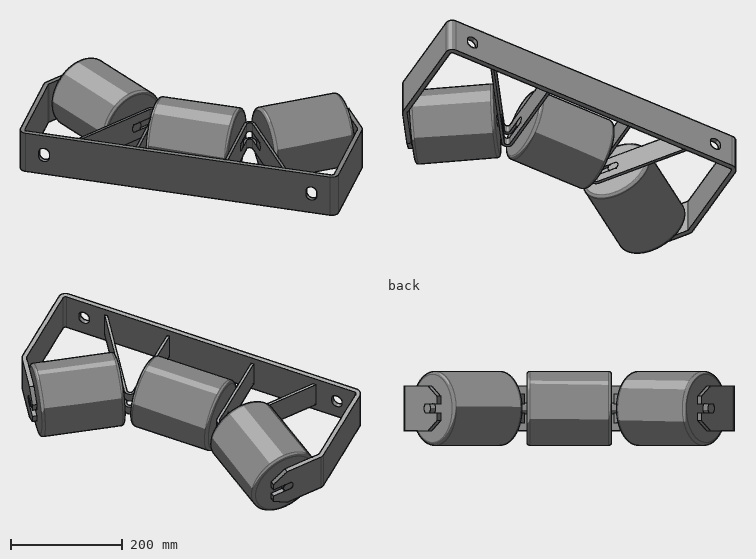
import cadquery as cq
import math

frame_length = 590.0
frame_height = 80.0
frame_thickness = 8.0
frame_bend_radius = 13.0
wall_top_y = 174.5
arm_tip_y = 258.5
tip_chamfer_along = 28.5
tip_chamfer_across = 18.0

mount_spacing = 495.5
mount_width = 20.0
mount_height = 27.0

tilt = 35.0
roller_diameter = 133.0
roller_length = 151.5
roller_round = 5.5
bracket_gap = 4.0
shaft_diameter = 20.0
shaft_flat = 16.0
middle_y = 125.0
side_x = 182.5
side_y = 183.5

bracket_thickness = 5.0
bracket_height = 52.0
bracket_bend_radius = 10.5

tilt_sin = math.sin(math.radians(tilt))
tilt_cos = math.cos(math.radians(tilt))
tilt_tan = tilt_sin / tilt_cos
half_length = frame_length / 2
support_distance = roller_length / 2 + bracket_gap

arm_tip_x = -half_length + (arm_tip_y - wall_top_y) * tilt_tan
arm_outer_distance = (half_length - side_x) * tilt_cos - (side_y - wall_top_y) * tilt_sin
arm_reach = (arm_tip_x + side_x) * tilt_sin + (arm_tip_y - side_y) * tilt_cos
arm_gap = arm_outer_distance - frame_thickness - roller_length / 2


def prism(points, height):
    """Closed outline in XY, thickened equally above and below Z = 0."""
    return cq.Workplane("XY").polyline(points).close().extrude(height).translate((0, 0, -height / 2))


def place_side(shape):
    """Move a shape from the X axis at the origin onto the left roller's axis."""
    return shape.rotate((0, 0, 0), (0, 0, 1), -tilt).translate((-side_x, side_y, 0))


def mirrored(shape):
    """Same shape on the other side of the X = 0 plane."""
    return shape.mirror("YZ")


def support_box(gap, support, start_y, end_y, height):
    """Box through a roller's support at the +X end, centred on the axis in Z."""
    return (
        cq.Workplane("XY").box(support, end_y - start_y, height, centered=(False, False, True))
        .translate((roller_length / 2 + gap, start_y, 0))
    )


def shaft_end(gap, support):
    """Shaft stub on a roller's +X end: round across the gap, flat above and below in the support."""
    radius = shaft_diameter / 2
    round_bar = (
        cq.Workplane("YZ").workplane(offset=roller_length / 2).circle(radius).extrude(gap + support)
    )
    zone = support_box(gap, support, -radius, radius, shaft_diameter)
    flats = zone.cut(support_box(gap, support, -radius, radius, shaft_flat))
    return round_bar.cut(flats)


def shaft_slot(gap, support, reach):
    """Cutter that seats a shaft end and runs out toward +Y."""
    return shaft_end(gap, support).union(support_box(gap, support, 0, reach, shaft_flat))


def make_roller(left_shaft, right_shaft):
    barrel = (
        cq.Workplane("YZ").workplane(offset=-roller_length / 2)
        .circle(roller_diameter / 2).extrude(roller_length)
        .edges().fillet(roller_round)
    )
    return barrel.union(mirrored(left_shaft)).union(right_shaft)


def frame_outline(offset):
    """Points from the middle of the base to the arm tip, moved inward from the outer face."""
    wall_x = -half_length + offset
    bend_shift = offset * math.tan(math.radians(tilt / 2))
    return [
        (0, offset),
        (wall_x, offset),
        (wall_x, wall_top_y - bend_shift),
        (arm_tip_x + offset * tilt_cos, arm_tip_y - offset * tilt_sin),
    ]


def round_edge(body, point, radius):
    """Fillet the vertical edge of the body that is nearest to an XY point."""
    nearest = cq.selectors.NearestToPointSelector((*point, 0))
    return body.edges("|Z").edges(nearest).fillet(radius)


def tip_chamfers():
    """Cutter for the upper and lower corner of the left arm's tip."""
    edge = frame_height / 2
    corner = [
        (arm_reach - tip_chamfer_along, edge),
        (arm_reach, edge),
        (arm_reach, edge - tip_chamfer_across),
    ]
    upper = (
        cq.Workplane("YZ").workplane(offset=-arm_outer_distance)
        .polyline(corner).close().extrude(frame_thickness)
    )
    return place_side(upper.union(upper.mirror("XY")))


def arm_slot():
    """Open slot in the left arm that seats the roller's shaft."""
    return place_side(mirrored(shaft_slot(arm_gap, frame_thickness, arm_reach)))


def mount_slots():
    """Upright slots through the base."""
    return (
        cq.Workplane("XZ").pushPoints([(-mount_spacing / 2, 0), (mount_spacing / 2, 0)])
        .slot2D(mount_height, mount_width, 90).extrude(-frame_thickness)
    )


def make_frame():
    outer_points = frame_outline(0)
    inner_points = frame_outline(frame_thickness)
    half = prism(outer_points + inner_points[::-1], frame_height)
    half = half.cut(tip_chamfers()).cut(arm_slot())
    for point in outer_points[1:3]:
        half = round_edge(half, point, frame_bend_radius)
    for point in inner_points[1:3]:
        half = round_edge(half, point, frame_bend_radius - frame_thickness)
    return half.union(mirrored(half)).cut(mount_slots())


def bracket_wedge(distance, bend_radius):
    """Wedge with a rounded top whose two faces lie at a distance from the roller middles."""
    leg_x = -distance
    slope_foot_x = -side_x + (distance - (side_y - frame_thickness) * tilt_sin) / tilt_cos
    tip_y = wedge_tip_y(distance)
    points = [(leg_x, frame_thickness), (leg_x, tip_y), (slope_foot_x, frame_thickness)]
    return round_edge(prism(points, bracket_height), (leg_x, tip_y), bend_radius)


def wedge_tip_y(distance):
    """Height along Y at which the upright and the sloping face of a wedge would meet."""
    return side_y + ((side_x - distance) * tilt_cos - distance) / tilt_sin


def bracket_slot():
    """One slot that seats both shafts and runs around the bend between them."""
    tip_y = wedge_tip_y(support_distance)
    bend_width = 2 * bracket_bend_radius
    bend_center_y = tip_y - bracket_bend_radius / math.tan(math.radians(tilt / 2))
    seat = shaft_slot(bracket_gap, bracket_thickness, bend_center_y - middle_y)
    around_bend = (
        cq.Workplane("XY")
        .box(bend_width, bend_width, shaft_flat, centered=(False, False, True))
        .translate((-support_distance - bend_width, bend_center_y, 0))
    )
    leg_seat = mirrored(seat).translate((0, middle_y, 0))
    return leg_seat.union(place_side(seat)).union(around_bend)


def make_bracket():
    """Left bracket, between the left and the middle roller."""
    outer = bracket_wedge(support_distance, bracket_bend_radius)
    inner = bracket_wedge(
        support_distance + bracket_thickness, bracket_bend_radius - bracket_thickness
    )
    return outer.cut(inner).cut(bracket_slot())


frame = make_frame()
left_bracket = make_bracket()
brackets = [left_bracket, mirrored(left_bracket)]
arm_shaft = shaft_end(arm_gap, frame_thickness)
bracket_shaft = shaft_end(bracket_gap, bracket_thickness)
middle_roller = make_roller(bracket_shaft, bracket_shaft).translate((0, middle_y, 0))
left_roller = place_side(make_roller(arm_shaft, bracket_shaft))
rollers = [middle_roller, left_roller, mirrored(left_roller)]

result = cq.Compound.makeCompound([body.val() for body in [frame, *brackets, *rollers]])